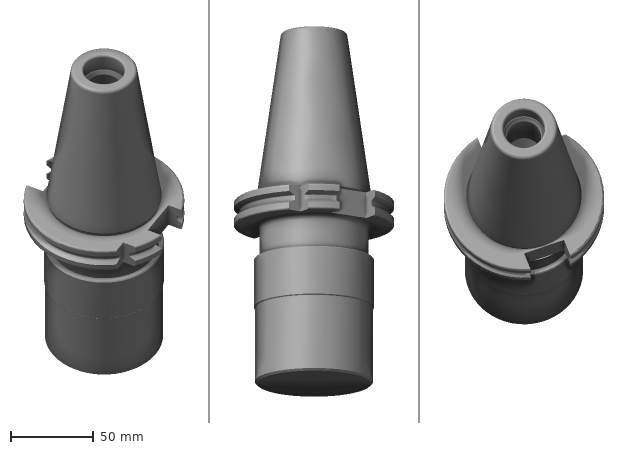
import cadquery as cq
import math

TOTAL_LENGTH = 218.8

TAPER_LENGTH = 101.7
TAPER_LARGE_DIAMETER = 69.8
TAPER_RATIO = 7 / 24
TAPER_TIP_ROUND = 2.2
TAPER_RUNOUT = 1.0
RELIEF_DIAMETER = 68.5
RELIEF_CONE_HEIGHT = 1.3
RELIEF_RECESS_DIAMETER = 70.2
RELIEF_RECESS_DEPTH = 0.7

FLANGE_DIAMETER = 97.5
FLANGE_THICKNESS = 16.0
FLANGE_SETBACK = 3.3
FLANGE_ROUND = 1.3
GROOVE_CENTER_DEPTH = 7.9
GROOVE_DIAMETER = 90.8
GROOVE_FLOOR_WIDTH = 3.0
GROOVE_FLOOR_ROUND = 0.5
GROOVE_FLANK_ANGLE = 30.0

SLOT_WIDTH = 25.8
LEFT_SLOT_DISTANCE = 35.2
RIGHT_SLOT_DISTANCE = 37.6
NOTCH_DISTANCE = 30.0

NECK_DIAMETER = 66.5
NECK_FILLET = 2.6
COLLAR_DIAMETER = 73.0
COLLAR_TOP_Z = 77.7
COLLAR_BOTTOM_Z = 47.0
COLLAR_CHAMFER = 0.7
NOSE_DIAMETER = 72.0
NOSE_CHAMFER = 1.3

BORE_DIAMETER = 25.0
BORE_DEPTH = 11.8
BORE_MOUTH_ROUND = 1.5
BORE_GROOVE_DIAMETER = 26.2
BORE_GROOVE_WIDTH = 2.2
PILOT_HOLE_DIAMETER = 21.0
PILOT_HOLE_DEPTH = 39.4
DRILL_POINT_ANGLE = 118.0

GAUGE_Z = TOTAL_LENGTH - TAPER_LENGTH
FLANGE_TOP_Z = GAUGE_Z - FLANGE_SETBACK
FLANGE_BOTTOM_Z = FLANGE_TOP_Z - FLANGE_THICKNESS
TAPER_SMALL_DIAMETER = TAPER_LARGE_DIAMETER - TAPER_RATIO * TAPER_LENGTH


def cylinder(diameter, bottom_z, top_z):
    return cq.Workplane("XY", origin=(0, 0, bottom_z)).circle(diameter / 2).extrude(top_z - bottom_z)


def revolve_profile(points):
    """Turn a closed (radius, z) outline around the Z axis."""
    return cq.Workplane("XZ").polyline(points).close().revolve(360, (0, 0), (0, 1))


def taper_shank():
    relief_radius = RELIEF_DIAMETER / 2
    cone_end_z = GAUGE_Z - TAPER_RUNOUT
    cone_end_radius = (TAPER_LARGE_DIAMETER + TAPER_RATIO * TAPER_RUNOUT) / 2
    shank = revolve_profile([
        (0, FLANGE_BOTTOM_Z),
        (relief_radius, FLANGE_BOTTOM_Z),
        (relief_radius, cone_end_z - RELIEF_CONE_HEIGHT),
        (cone_end_radius, cone_end_z),
        (TAPER_SMALL_DIAMETER / 2, TOTAL_LENGTH),
        (0, TOTAL_LENGTH),
    ])
    return shank.faces(">Z").edges().fillet(TAPER_TIP_ROUND)


def gripper_groove():
    floor_radius = GROOVE_DIAMETER / 2
    outer_radius = FLANGE_DIAMETER / 2
    center_z = FLANGE_TOP_Z - GROOVE_CENTER_DEPTH
    half_floor = GROOVE_FLOOR_WIDTH / 2
    flank_rise = (outer_radius - floor_radius) * math.tan(math.radians(GROOVE_FLANK_ANGLE))
    half_mouth = half_floor + flank_rise
    groove = revolve_profile([
        (floor_radius, center_z - half_floor),
        (outer_radius, center_z - half_mouth),
        (outer_radius, center_z + half_mouth),
        (floor_radius, center_z + half_floor),
    ])
    floor_edges = cq.selectors.RadiusNthSelector(0)
    return groove.edges(floor_edges).fillet(GROOVE_FLOOR_ROUND)


def flange_cutter(x_min, x_max, y_min, y_max):
    """Block through the full flange thickness."""
    return (
        cq.Workplane("XY", origin=(0, 0, FLANGE_BOTTOM_Z))
        .moveTo((x_min + x_max) / 2, (y_min + y_max) / 2)
        .rect(x_max - x_min, y_max - y_min)
        .extrude(FLANGE_THICKNESS)
    )


def flange():
    disc = cylinder(FLANGE_DIAMETER, FLANGE_BOTTOM_Z, FLANGE_TOP_Z).edges().fillet(FLANGE_ROUND)
    half_slot = SLOT_WIDTH / 2
    left_slot = flange_cutter(-FLANGE_DIAMETER, -LEFT_SLOT_DISTANCE, -half_slot, half_slot)
    right_slot = flange_cutter(RIGHT_SLOT_DISTANCE, FLANGE_DIAMETER, -half_slot, half_slot)
    notch = flange_cutter(NOTCH_DISTANCE, FLANGE_DIAMETER, -FLANGE_DIAMETER, -NOTCH_DISTANCE)
    recess_floor_z = FLANGE_TOP_Z - RELIEF_RECESS_DEPTH
    recess = cylinder(RELIEF_RECESS_DIAMETER, recess_floor_z, FLANGE_TOP_Z)
    return disc.cut(gripper_groove()).cut(left_slot).cut(right_slot).cut(notch).cut(recess)


def neck():
    radius = NECK_DIAMETER / 2
    return (
        cq.Workplane("XZ")
        .moveTo(0, COLLAR_TOP_Z)
        .lineTo(radius, COLLAR_TOP_Z)
        .lineTo(radius, FLANGE_BOTTOM_Z - NECK_FILLET)
        .radiusArc((radius + NECK_FILLET, FLANGE_BOTTOM_Z), NECK_FILLET)
        .lineTo(0, FLANGE_BOTTOM_Z)
        .close()
        .revolve(360, (0, 0), (0, 1))
    )


def collar_and_nose():
    collar = cylinder(COLLAR_DIAMETER, COLLAR_BOTTOM_Z, COLLAR_TOP_Z).edges().chamfer(COLLAR_CHAMFER)
    nose = cylinder(NOSE_DIAMETER, 0, COLLAR_BOTTOM_Z).faces("<Z").edges().chamfer(NOSE_CHAMFER)
    return collar.union(nose)


def blind_bore():
    bore_radius = BORE_DIAMETER / 2
    mouth_radius = bore_radius + BORE_MOUTH_ROUND
    groove_radius = BORE_GROOVE_DIAMETER / 2
    pilot_radius = PILOT_HOLE_DIAMETER / 2
    step_z = TOTAL_LENGTH - BORE_DEPTH
    groove_top_z = step_z + BORE_GROOVE_WIDTH
    pilot_start_z = step_z - (bore_radius - pilot_radius)
    pilot_end_z = TOTAL_LENGTH - PILOT_HOLE_DEPTH
    point_length = pilot_radius / math.tan(math.radians(DRILL_POINT_ANGLE / 2))
    return (
        cq.Workplane("XZ")
        .moveTo(0, TOTAL_LENGTH)
        .lineTo(mouth_radius, TOTAL_LENGTH)
        .radiusArc((bore_radius, TOTAL_LENGTH - BORE_MOUTH_ROUND), -BORE_MOUTH_ROUND)
        .lineTo(bore_radius, groove_top_z)
        .lineTo(groove_radius, groove_top_z)
        .lineTo(groove_radius, step_z)
        .lineTo(bore_radius, step_z)
        .lineTo(pilot_radius, pilot_start_z)
        .lineTo(pilot_radius, pilot_end_z)
        .lineTo(0, pilot_end_z - point_length)
        .close()
        .revolve(360, (0, 0), (0, 1))
    )


result = taper_shank().union(flange()).union(neck()).union(collar_and_nose()).cut(blind_bore())